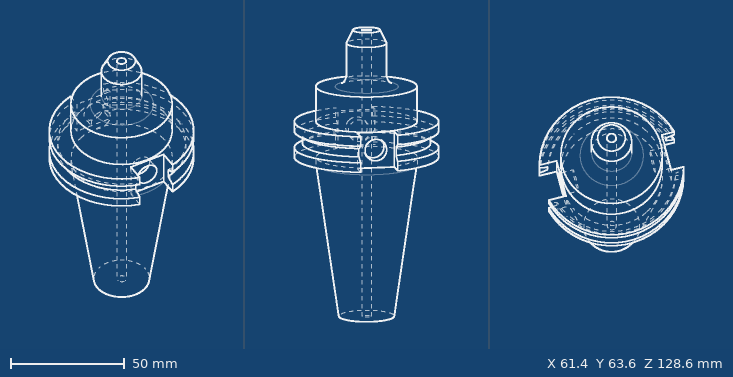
import cadquery as cq

total_height = 128.6
taper_height = 68.4
collar_height = 3.1
flange_height = 16.0
body_height = 15.8
neck_fillet = 5.0
tip_height = 5.9

flange_bottom = taper_height + collar_height
flange_top = flange_bottom + flange_height
flange_middle = flange_bottom + flange_height / 2
body_top = flange_top + body_height
tip_bottom = total_height - tip_height

body_radius = 22.2
taper_rate = 7 / 24
small_end_radius = body_radius - taper_height * taper_rate / 2
flange_radius = 31.8
neck_radius = 8.9
tip_radius = 6.0

groove_radius = 28.2
groove_floor_width = 3.7
groove_mouth_width = 7.5

slot_width = 16.6
left_slot_floor = 25.0
right_slot_floor = 22.8
side_hole_diameter = 9.6
side_hole_depth = 6.4
bore_diameter = 4.0


def turned_body():
    """Revolve the taper, flange blank, body and filleted neck about Z."""
    fillet_end_radius = neck_radius + neck_fillet
    profile = (
        cq.Workplane("XZ")
        .moveTo(0, 0)
        .lineTo(small_end_radius, 0)
        .lineTo(body_radius, taper_height)
        .lineTo(body_radius, flange_bottom)
        .lineTo(flange_radius, flange_bottom)
        .lineTo(flange_radius, flange_top)
        .lineTo(body_radius, flange_top)
        .lineTo(body_radius, body_top)
        .lineTo(fillet_end_radius, body_top)
        .radiusArc((neck_radius, body_top + neck_fillet), neck_fillet)
        .lineTo(neck_radius, tip_bottom)
        .lineTo(tip_radius, total_height)
        .lineTo(0, total_height)
        .close()
    )
    return profile.revolve(360, (0, 0, 0), (0, 1, 0))


def gripper_groove():
    """Ring with a trapezoid section, to be cut from the flange rim."""
    section = (
        cq.Workplane("XZ")
        .moveTo(groove_radius, flange_middle - groove_floor_width / 2)
        .lineTo(flange_radius, flange_middle - groove_mouth_width / 2)
        .lineTo(flange_radius, flange_middle + groove_mouth_width / 2)
        .lineTo(groove_radius, flange_middle + groove_floor_width / 2)
        .close()
    )
    return section.revolve(360, (0, 0, 0), (0, 1, 0))


def drive_slot(floor_distance):
    """Slot on the +X side of the flange with a blind round hole in its floor."""
    slot = (
        cq.Workplane("XY", origin=(floor_distance, 0, flange_bottom))
        .rect(flange_radius, slot_width)
        .extrude(flange_height)
        .translate((flange_radius / 2, 0, 0))
    )
    hole = (
        cq.Workplane("YZ", origin=(floor_distance, 0, flange_middle))
        .circle(side_hole_diameter / 2)
        .extrude(-side_hole_depth)
    )
    return slot.union(hole)


result = turned_body().cut(gripper_groove())

for floor_distance, angle in ((right_slot_floor, 0), (left_slot_floor, 180)):
    result = result.cut(drive_slot(floor_distance).rotate((0, 0, 0), (0, 0, 1), angle))

bore = cq.Workplane("XY").circle(bore_diameter / 2).extrude(total_height)
result = result.cut(bore)